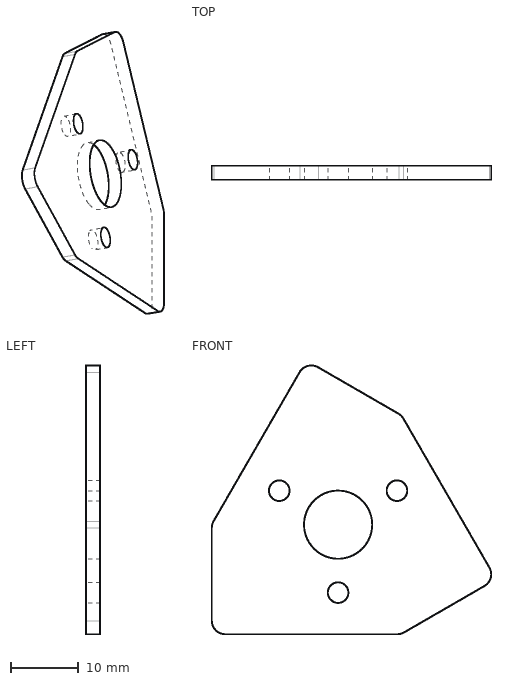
import cadquery as cq
import math

thickness = 2.1
long_edge_distance = 16.137
short_edge_distance = 18.598
corner_radius = 2.0

bore_diameter = 10.0
screw_hole_diameter = 3.0
screw_circle_radius = 10.0

symmetry_count = 3
symmetry_step = 360.0 / symmetry_count
long_edge_angle = -90.0
short_edge_angle = -60.0
first_screw_angle = -90.0


def polar_point(radius, angle):
    """Point at the given radius and angle (degrees) from the bore axis."""
    return (radius * math.cos(math.radians(angle)), radius * math.sin(math.radians(angle)))


def edge_crossing(distance_a, angle_a, distance_b, angle_b):
    """Point where two straight edges meet, each given by its distance and normal angle."""
    ax, az = polar_point(1.0, angle_a)
    bx, bz = polar_point(1.0, angle_b)
    determinant = ax * bz - az * bx
    x = (distance_a * bz - distance_b * az) / determinant
    z = (ax * distance_b - bx * distance_a) / determinant
    return (x, z)


def outline_points():
    """Sharp corners of the six-sided outline, counter-clockwise."""
    points = []
    for index in range(symmetry_count):
        turn = index * symmetry_step
        long_angle = long_edge_angle + turn
        short_angle = short_edge_angle + turn
        next_long_angle = long_angle + symmetry_step
        points.append(edge_crossing(long_edge_distance, long_angle, short_edge_distance, short_angle))
        points.append(edge_crossing(short_edge_distance, short_angle, long_edge_distance, next_long_angle))
    return points


def make_plate():
    """Plate centred on the XZ plane, with all six corners rounded."""
    plate = cq.Workplane("XZ").polyline(outline_points()).close().extrude(thickness / 2, both=True)
    return plate.edges("|Y").fillet(corner_radius)


def make_hole_cutter(diameter, centers):
    """Cylinders that pass through the full thickness at the given centers."""
    start_plane = cq.Workplane("XZ").workplane(offset=-thickness)
    return start_plane.pushPoints(centers).circle(diameter / 2).extrude(2 * thickness)


screw_centers = [
    polar_point(screw_circle_radius, first_screw_angle + index * symmetry_step)
    for index in range(symmetry_count)
]

result = make_plate()
result = result.cut(make_hole_cutter(bore_diameter, [(0.0, 0.0)]))
result = result.cut(make_hole_cutter(screw_hole_diameter, screw_centers))